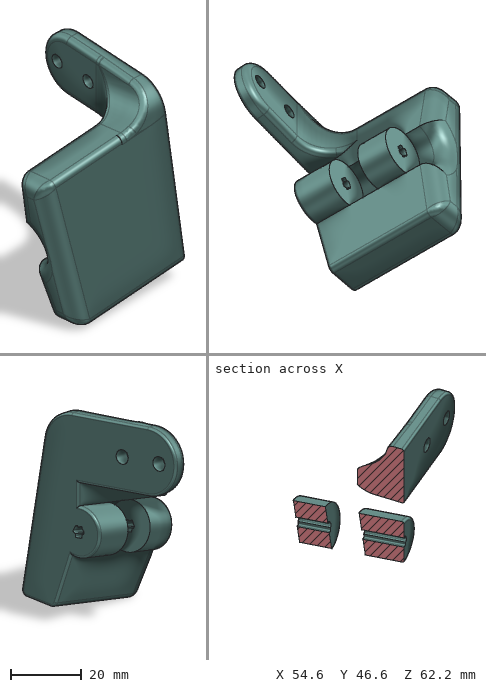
import cadquery as cq
import math


plate_height = 20.0
plate_radius = plate_height / 2
plate_thickness = 5.0
plate_left = -34.45
plate_right = 12.3
hole_diameter = 4.2
hole_xs = (-28.4, -15.4)
cove_radius = 12.0

tilt = 7.4
lean = 10.0
lower_face_angle = 20.0
axis_height = -24.25
leaf_length = 44.1
leaf_top = 25.25
leaf_drop = 24.8
outer_face_x = 16.7
back_overrun = 9.3
groove_overrun = 0.6

knuckle_radius = 7.5
knuckle_spans = ((-back_overrun, 13.25), (23.7, 33.9))
pin_lobe_width = 2.3
pin_lobe_reach = 1.75
pin_lobe_rounding = 0.5

edge_radius = 2.0
leaf_front_radius = 5.0
back_edge_radius = 0.75
stock = 124.35

sin_tilt = math.sin(math.radians(tilt))
cos_tilt = math.cos(math.radians(tilt))
sin_lean = math.sin(math.radians(lean))
cos_lean = math.cos(math.radians(lean))
tan_lean = math.tan(math.radians(lean))


def axis_plane(distance):
    """Section plane at a distance along the hinge axis; its normal points to the front."""
    origin = (0, -distance * cos_tilt, axis_height - distance * sin_tilt)
    return cq.Plane(origin, (1, 0, 0), (0, -cos_tilt, -sin_tilt))


def axis_cylinder(start, end, radius):
    return cq.Workplane(axis_plane(start)).circle(radius).extrude(end - start)


def outer_corner(inner):
    """Corner of the outer face and a face perpendicular to it that starts at `inner`."""
    x, v = inner
    corner_v = (v + (outer_face_x - x) * tan_lean) / (1 + tan_lean ** 2)
    return (outer_face_x - corner_v * tan_lean, corner_v)


def nearest_to(point):
    return cq.selectors.NearestToPointSelector(point.toTuple())


def make_leaf_blank():
    """Leaf prism with the outer and bottom edges rounded; the top inner edge is still sharp."""
    top_inner = (0, leaf_top)
    angle = math.radians(lower_face_angle)
    bottom_inner = (leaf_drop * math.sin(angle), -leaf_drop * math.cos(angle))
    top_outer = outer_corner(top_inner)
    bottom_outer = outer_corner(bottom_inner)
    plane = axis_plane(-back_overrun)
    outline = cq.Workplane(plane).polyline([top_inner, (0, 0), bottom_inner, bottom_outer, top_outer]).close()
    leaf = outline.extrude(leaf_length + back_overrun)
    middle = axis_plane(leaf_length / 2)
    for corner in (bottom_inner, bottom_outer, top_outer):
        leaf = leaf.edges(nearest_to(middle.toWorldCoords(corner))).fillet(edge_radius)
    return leaf


def plate_outline(depth):
    """Rounded plate outline; the lower right corner is square because it lies in the leaf."""
    r = plate_radius
    return (
        cq.Workplane("XZ")
        .moveTo(plate_left + r, r)
        .lineTo(plate_right - r, r)
        .radiusArc((plate_right, 0), r)
        .lineTo(plate_right, -r)
        .lineTo(plate_left + r, -r)
        .threePointArc((plate_left, 0), (plate_left + r, r))
        .close()
        .extrude(depth)
    )


def make_gusset():
    """Concave blend from the plate to the inner and top faces of the leaf."""
    depth = plate_thickness + cove_radius
    side = (
        cq.Workplane("XY")
        .moveTo(-cove_radius, 0)
        .lineTo(-cove_radius, -plate_thickness)
        .radiusArc((0, -depth), cove_radius)
        .lineTo(plate_right, -depth)
        .lineTo(plate_right, 0)
        .close()
        .extrude(stock, both=True)
    )
    normal = (-sin_lean, -cos_lean * sin_tilt, cos_lean * cos_tilt)
    corner = axis_plane(0).toWorldCoords((0, leaf_top))
    rise = math.hypot(normal[0], normal[2])
    slope = math.atan2(-normal[1], rise)
    ridge = (normal[1] * corner.y + normal[2] * corner.z) / rise
    top_at_depth = ridge - depth * math.tan(slope)
    centre = top_at_depth + cove_radius / math.cos(slope)
    tangent = (depth - cove_radius * math.sin(slope), centre - cove_radius * math.cos(slope))
    profile_plane = cq.Plane((0, 0, 0), (0, -1, 0), (-normal[2], 0, normal[0]))
    over = (
        cq.Workplane(profile_plane)
        .moveTo(0, -stock)
        .lineTo(depth, -stock)
        .lineTo(depth, top_at_depth)
        .lineTo(*tangent)
        .radiusArc((plate_thickness, centre), cove_radius)
        .lineTo(0, centre)
        .close()
        .extrude(stock, both=True)
    )
    return plate_outline(depth).intersect(side).intersect(over)


def round_front_edges(body):
    """Round the top inner edge of leaf and gusset, the rim of plate and gusset, and the leaf front."""
    inner_edge = axis_plane(leaf_length / 2).toWorldCoords((0, leaf_top))
    rim_end = cq.Vector(plate_left, -plate_thickness, 0)
    leaf_front = cq.selectors.DirectionMinMaxSelector(cq.Vector(0, -cos_tilt, -sin_tilt), True)
    body = body.edges(nearest_to(inner_edge)).fillet(edge_radius)
    body = body.edges("%CIRCLE").edges(nearest_to(rim_end)).fillet(edge_radius)
    return body.faces(leaf_front).edges().fillet(leaf_front_radius)


def make_groove():
    """Clearance along the hinge axis, flared at the front end to match its rounded edge."""
    mouth_radius = knuckle_radius + leaf_front_radius
    flare_start = leaf_length - leaf_front_radius
    groove_end = leaf_length + groove_overrun
    profile = (
        cq.Workplane("XY")
        .moveTo(0, -back_overrun)
        .lineTo(knuckle_radius, -back_overrun)
        .lineTo(knuckle_radius, flare_start)
        .radiusArc((mouth_radius, leaf_length), leaf_front_radius)
        .lineTo(mouth_radius, groove_end)
        .lineTo(0, groove_end)
        .close()
    )
    groove = profile.revolve(360, (0, 0, 0), (0, 1, 0))
    return groove.rotate((0, 0, 0), (1, 0, 0), 180 + tilt).translate((0, 0, axis_height))


def make_pin_hole():
    """Three-lobed hole along the hinge axis, with one lobe pointing down."""
    length = leaf_length + back_overrun
    hole = cq.Workplane("XY").circle(pin_lobe_width / 2).extrude(length)
    for angle in (30, 150, 270):
        lobe = (
            cq.Workplane("XY")
            .center(pin_lobe_reach / 2, 0)
            .rect(pin_lobe_reach, pin_lobe_width)
            .extrude(length)
            .edges("|Z and >X")
            .fillet(pin_lobe_rounding)
            .rotate((0, 0, 0), (0, 0, 1), angle)
        )
        hole = hole.union(lobe)
    return cq.Workplane(hole.val().moved(axis_plane(-back_overrun).location))


def cut_flush(body):
    """Remove everything behind the mounting face."""
    return body.cut(cq.Workplane("XY").box(stock, stock, stock).translate((0, stock / 2, 0)))


body = plate_outline(plate_thickness).union(make_gusset()).union(make_leaf_blank())
body = round_front_edges(cut_flush(body))
body = body.cut(make_groove())
for start, end in knuckle_spans:
    body = body.union(axis_cylinder(start, end, knuckle_radius))
body = cut_flush(body)
body = body.faces(">Y").edges().fillet(back_edge_radius)
body = body.cut(make_pin_hole())
screw_holes = cq.Workplane("XZ").pushPoints([(x, 0) for x in hole_xs]).circle(hole_diameter / 2)
result = body.cut(screw_holes.extrude(plate_thickness))